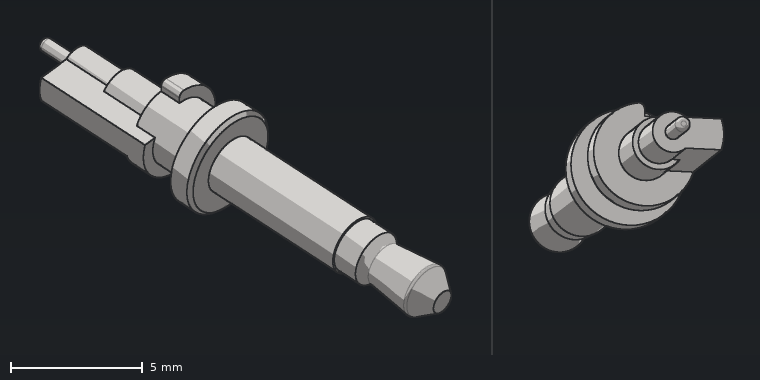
import cadquery as cq

length = 20.8

pin_radius = 0.3
pin_rounding = 0.19
inner_terminal_start = 1.7
inner_terminal_radius = 0.8
outer_terminal_start = 3.95
outer_terminal_radius = 1.02

disc_start = 6.15
disc_end = 7.11
disc_radius = 2.0
notch_corner_radius = 0.23
neck_radius = 1.48
flange_start = 8.75
flange_end = 9.78
flange_radius = 2.25
flange_chamfer = 0.17

barrel_radius = 1.23
collar_start = 16.25
collar_radius = 1.15
collar_end = 17.35
groove_arc_middle = 17.53
groove_arc_radius = 1.0
groove_radius = 0.92
groove_end = 17.78
tip_shoulder = 19.85
tip_shoulder_end = 19.97
tip_shoulder_radius = 1.15
tip_cone_radius = 1.1
tip_end_radius = 0.5

bar_thickness = 1.2


def cylinder(start, end, radius):
    """Round section along X between two stations."""
    return cq.Workplane("YZ").workplane(offset=start).circle(radius).extrude(end - start)


def box_between(start, end, y_limits, z_limits):
    """Box spanning the given limits along each axis."""
    size = (end - start, y_limits[1] - y_limits[0], z_limits[1] - z_limits[0])
    return cq.Workplane("XY").box(*size, centered=False).translate((start, y_limits[0], z_limits[0]))


def make_rear():
    """Rounded pin, the two stepped terminals and the neck."""
    pin = cylinder(0, inner_terminal_start, pin_radius).faces("<X").edges().fillet(pin_rounding)
    inner = cylinder(inner_terminal_start, outer_terminal_start, inner_terminal_radius)
    outer = cylinder(outer_terminal_start, disc_start, outer_terminal_radius)
    neck = cylinder(disc_start, flange_start, neck_radius)
    return pin.union(inner).union(outer).union(neck)


def make_disc():
    """Disc with its upper -Y quadrant removed and the top corner rounded."""
    disc = cylinder(disc_start, disc_end, disc_radius)
    notch = box_between(disc_start, disc_end, (-disc_radius, 0), (0, disc_radius))
    return disc.cut(notch).edges("|X and >Z").fillet(notch_corner_radius)


def make_bar():
    """Flat-sided bar whose outer end follows the rim of the disc."""
    half = bar_thickness / 2
    bar = box_between(inner_terminal_start, disc_end, (-disc_radius, 0), (-half, half))
    return bar.intersect(cylinder(inner_terminal_start, disc_end, disc_radius))


def make_flange():
    """Flange chamfered on the barrel side."""
    flange = cylinder(flange_start, flange_end, flange_radius)
    return flange.faces(">X").edges().chamfer(flange_chamfer)


def make_barrel_and_tip():
    """Barrel, collar, latching groove and pointed tip, revolved as one profile."""
    profile = (
        cq.Workplane("XY")
        .moveTo(flange_end, 0)
        .lineTo(flange_end, barrel_radius)
        .lineTo(collar_start, barrel_radius)
        .lineTo(collar_start, collar_radius)
        .lineTo(collar_end, collar_radius)
        .threePointArc((groove_arc_middle, groove_arc_radius), (groove_end, groove_radius))
        .lineTo(tip_shoulder, tip_shoulder_radius)
        .tangentArcPoint((tip_shoulder_end, tip_cone_radius), relative=False)
        .lineTo(length, tip_end_radius)
        .lineTo(length, 0)
        .close()
    )
    return profile.revolve(360, (0, 0, 0), (1, 0, 0))


result = make_rear()
for section in (make_disc(), make_bar(), make_flange(), make_barrel_and_tip()):
    result = result.union(section)